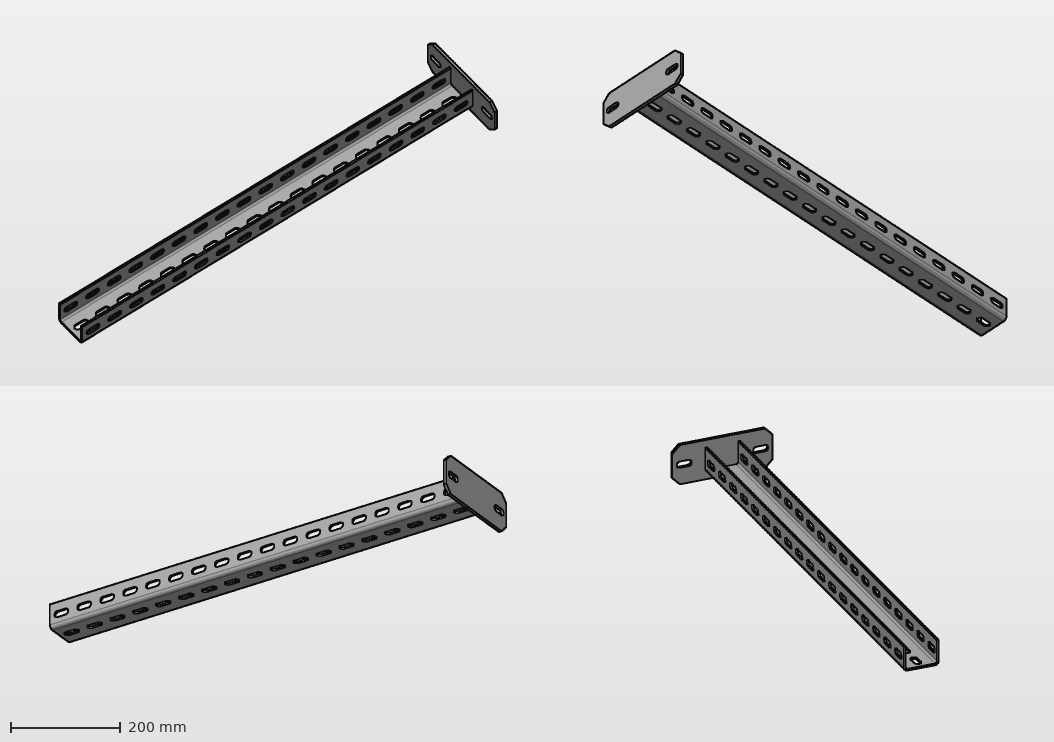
import cadquery as cq

total_length = 908.0
plate_width = 200.0
plate_height = 80.0
plate_thickness = 6.0
plate_side_edge = 50.0
corner_cut = (plate_height - plate_side_edge) / 2
plate_slot_spacing = 152.5

channel_length = total_length - plate_thickness
channel_width = 70.0
channel_height = 50.0
channel_top = channel_height / 2
channel_bottom = -channel_height / 2
sheet_thickness = 4.0
bend_inner_radius = sheet_thickness
bend_outer_radius = bend_inner_radius + sheet_thickness

slot_length = 30.0
slot_width = 13.0
slot_count = 18
slotted_length = 900.0
slot_pitch = slotted_length / slot_count
first_slot_y = -channel_length + slot_pitch / 2
slot_row = [first_slot_y + i * slot_pitch for i in range(slot_count)]


def make_plate():
    """Upright mounting plate with cut corners and a bolt slot at each end."""
    blank = (
        cq.Workplane("XY")
        .box(plate_width, plate_thickness, plate_height)
        .translate((0, plate_thickness / 2, 0))
        .edges("|Y")
        .chamfer(corner_cut)
    )
    bolt_slots = (
        cq.Workplane("XZ")
        .pushPoints([(-plate_slot_spacing / 2, 0), (plate_slot_spacing / 2, 0)])
        .slot2D(slot_length, slot_width)
        .extrude(-plate_thickness)
    )
    return blank.cut(bolt_slots)


def channel_block(width, bottom, bend_radius):
    """Full-length block from the given bottom to the channel top, with rounded lower edges."""
    height = channel_top - bottom
    return (
        cq.Workplane("XY")
        .box(width, channel_length, height)
        .translate((0, -channel_length / 2, bottom + height / 2))
        .edges("|Y and <Z")
        .fillet(bend_radius)
    )


def make_base_slots():
    """Row of lengthwise slots through the channel base."""
    return (
        cq.Workplane("XY", origin=(0, 0, channel_bottom))
        .pushPoints([(0, y) for y in slot_row])
        .slot2D(slot_length, slot_width, 90)
        .extrude(sheet_thickness)
    )


def make_wall_slots():
    """Row of lengthwise slots through both channel walls, at half the channel height."""
    return (
        cq.Workplane("YZ", origin=(-channel_width / 2, 0, 0))
        .pushPoints([(y, 0) for y in slot_row])
        .slot2D(slot_length, slot_width)
        .extrude(channel_width)
    )


def make_channel():
    """U-shaped channel, open upward, slotted in its base and both walls."""
    outside = channel_block(channel_width, channel_bottom, bend_outer_radius)
    inside = channel_block(
        channel_width - 2 * sheet_thickness,
        channel_bottom + sheet_thickness,
        bend_inner_radius,
    )
    return outside.cut(inside).cut(make_base_slots()).cut(make_wall_slots())


plate = make_plate()
channel = make_channel()

result = cq.Compound.makeCompound([plate.val(), channel.val()])